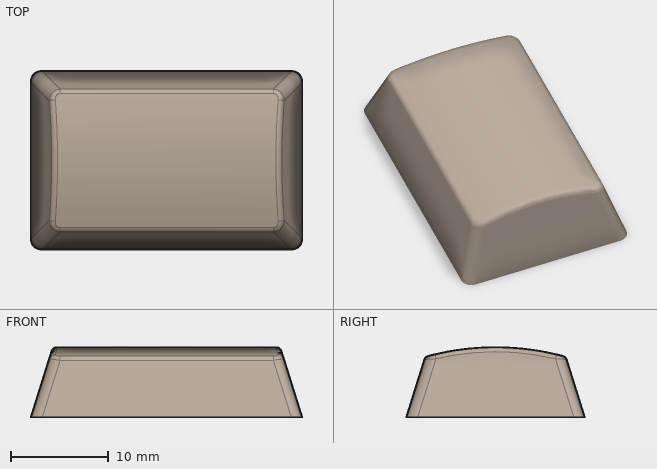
import cadquery as cq

length = 27.82
width = 18.3
height = 7.2

wall_angle = 17.4
dome_radius = 26.7

corner_radius = 1.2
rim_radius = 0.65


def tapered_block():
    """Flat-topped block with inward-leaning walls and rounded corner edges."""
    block = cq.Workplane("XY").rect(length, width).extrude(height, taper=wall_angle)
    sloping_edges = block.edges("not(|X or |Y)")
    return sloping_edges.fillet(corner_radius)


def dome_cylinder():
    """Cylinder along X whose crest lies at the full height."""
    return (
        cq.Workplane("YZ")
        .center(0, height - dome_radius)
        .circle(dome_radius)
        .extrude(length / 2, both=True)
    )


def round_rim(body):
    """Round the closed edge loop around the domed top face."""
    return body.faces("%CYLINDER and >Z").edges().fillet(rim_radius)


domed_block = tapered_block().intersect(dome_cylinder())
result = round_rim(domed_block)